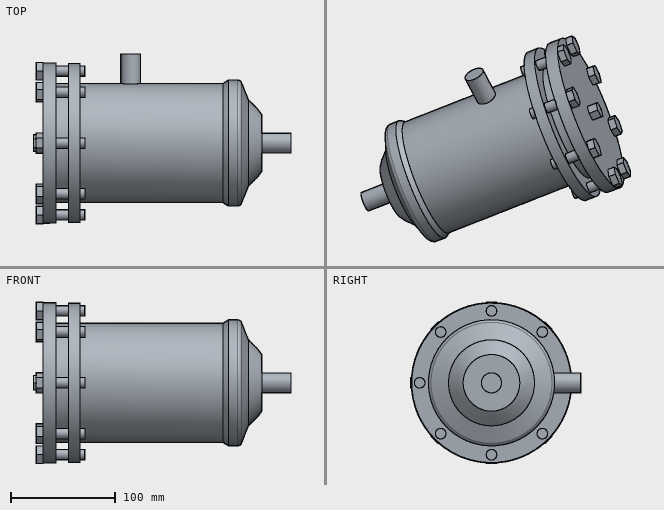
import cadquery as cq
import math

overall_length = 245.5
bolt_head_x = 2.5
cover_x = 9.0
cover_end_x = 21.5
flange_x = 33.5
flange_end_x = 44.5
bolt_end_x = 49.0
cap_x = 180.7
rim_x = 185.8
rim_end_x = 194.7
dome_x = 205.0
dome_end_x = 217.8

cover_diameter = 153.0
flange_diameter = 152.0
shell_diameter = 114.0
rim_diameter = 120.3
dome_diameter = 82.0
dome_end_diameter = 54.0
pipe_diameter = 19.1

rim_round_radius = 4.0
dome_bulge = 0.7

bolt_count = 8
bolt_circle_diameter = 137.0
bolt_diameter = 10.0
bolt_head_flats = 17.0
plug_head_flats = 14.0

overall_width = 162.0
bolt_reach = (bolt_circle_diameter + bolt_head_flats) / 2
side_pipe_x = 92.5
side_pipe_reach = overall_width - bolt_reach


def cylinder(start_x, end_x, diameter):
    """Round bar along the main axis."""
    return cq.Workplane("YZ", origin=(start_x, 0, 0)).circle(diameter / 2).extrude(end_x - start_x)


def hex_head(flats, start_x):
    """Hexagonal head resting on the cover, with flats facing up and down."""
    corners = flats / math.cos(math.pi / 6)
    return cq.Workplane("YZ", origin=(start_x, 0, 0)).polygon(6, corners).extrude(cover_x - start_x)


def bolt():
    """Bolt at the top of the bolt circle, passing through cover and flange."""
    head = hex_head(bolt_head_flats, bolt_head_x)
    shank = cylinder(cover_x, bolt_end_x, bolt_diameter)
    return head.union(shank).translate((0, 0, bolt_circle_diameter / 2))


def end_cap():
    """Turned cap: bevel, raised rim with a rounded shoulder, cone and slightly bulged dome."""
    rim_radius = rim_diameter / 2
    dome_radius = dome_diameter / 2
    dome_end_radius = dome_end_diameter / 2

    centre_radius = rim_radius - rim_round_radius
    run = dome_x - rim_end_x
    drop = centre_radius - dome_radius
    distance = math.hypot(run, drop)
    tangent_angle = math.acos(rim_round_radius / distance) - math.atan2(drop, run)

    def shoulder_point(angle):
        return (
            rim_end_x + rim_round_radius * math.cos(angle),
            centre_radius + rim_round_radius * math.sin(angle),
        )

    dome_run = dome_end_x - dome_x
    dome_drop = dome_radius - dome_end_radius
    dome_chord = math.hypot(dome_run, dome_drop)
    dome_middle = (
        (dome_x + dome_end_x) / 2 + dome_bulge * dome_drop / dome_chord,
        (dome_radius + dome_end_radius) / 2 + dome_bulge * dome_run / dome_chord,
    )

    profile = (
        cq.Workplane("XY")
        .moveTo(cap_x, 0)
        .lineTo(cap_x, shell_diameter / 2)
        .lineTo(rim_x, rim_radius)
        .lineTo(rim_end_x, rim_radius)
        .threePointArc(shoulder_point((math.pi / 2 + tangent_angle) / 2), shoulder_point(tangent_angle))
        .lineTo(dome_x, dome_radius)
        .threePointArc(dome_middle, (dome_end_x, dome_end_radius))
        .lineTo(dome_end_x, 0)
        .close()
    )
    return profile.revolve(360, (0, 0, 0), (1, 0, 0))


def side_pipe():
    """Pipe leaving the shell towards +Y."""
    return (
        cq.Workplane("XZ", origin=(side_pipe_x, 0, 0))
        .circle(pipe_diameter / 2)
        .extrude(-side_pipe_reach)
    )


vessel = (
    cylinder(cover_x, cover_end_x, cover_diameter)
    .union(cylinder(cover_end_x, cap_x, shell_diameter))
    .union(cylinder(flange_x, flange_end_x, flange_diameter))
    .union(end_cap())
    .union(cylinder(dome_end_x, overall_length, pipe_diameter))
    .union(side_pipe())
)

result = vessel.union(hex_head(plug_head_flats, 0))
for index in range(bolt_count):
    result = result.union(bolt().rotate((0, 0, 0), (1, 0, 0), index * 360 / bolt_count))